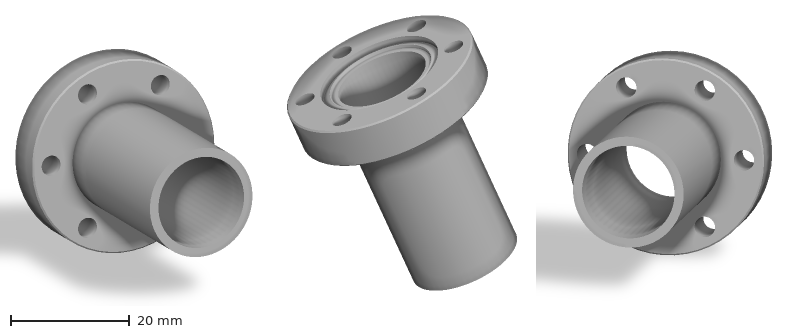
import cadquery as cq

total_length = 38.35
flange_diameter = 33.8
flange_radius = flange_diameter / 2
flange_thickness = 7.3
rim_chamfer = 0.25

pipe_radius = 9.5
bore_radius = 7.95
neck_end = 12.65

bolt_count = 6
bolt_circle_radius = 13.5
bolt_hole_diameter = 3.5

recess_radius = 10.7
groove_radius = 10.55
groove_depth = 1.23
knife_radius = 9.28
knife_tip_width = 0.15
knife_depth = 0.65
inner_wall_radius = 8.97
inner_floor_depth = 1.23


def revolve_about_x(profile):
    return profile.close().revolve(360, (0, 0, 0), (1, 0, 0))


def make_flange_blank():
    """Chamfered disc with its neck, a knife-edge recess and a through bore."""
    profile = (
        cq.Workplane("XY")
        .moveTo(0, recess_radius)
        .lineTo(0, flange_radius - rim_chamfer)
        .lineTo(rim_chamfer, flange_radius)
        .lineTo(flange_thickness - rim_chamfer, flange_radius)
        .lineTo(flange_thickness, flange_radius - rim_chamfer)
        .lineTo(flange_thickness, pipe_radius)
        .lineTo(neck_end, pipe_radius)
        .lineTo(neck_end, bore_radius)
        .lineTo(inner_floor_depth, bore_radius)
        .lineTo(inner_floor_depth, inner_wall_radius)
        .lineTo(knife_depth, knife_radius - knife_tip_width)
        .lineTo(knife_depth, knife_radius)
        .lineTo(groove_depth, groove_radius)
        .lineTo(groove_depth, recess_radius)
    )
    return revolve_about_x(profile)


def make_bolt_holes():
    """Cutters on the bolt circle, with two of them on the Y axis."""
    return (
        cq.Workplane("YZ")
        .polarArray(bolt_circle_radius, 0, 360, bolt_count)
        .circle(bolt_hole_diameter / 2)
        .extrude(flange_thickness)
    )


def make_tube():
    """Plain tube butted against the end of the flange neck."""
    return (
        cq.Workplane("YZ", origin=(neck_end, 0, 0))
        .circle(pipe_radius)
        .circle(bore_radius)
        .extrude(total_length - neck_end)
    )


flange = make_flange_blank().cut(make_bolt_holes())
tube = make_tube()

result = cq.Compound.makeCompound([flange.val(), tube.val()])